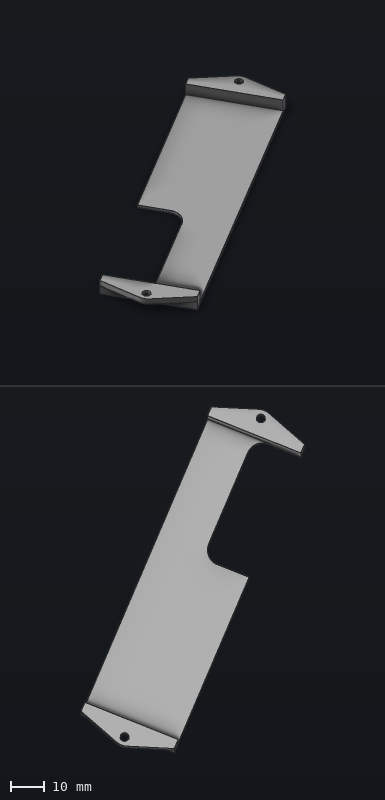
import cadquery as cq
import math

length = 111.0
width = 30.0
height = 5.0

floor_thickness = 1.0
wall_thickness = 3.0

ear_reach = 5.0
ear_thickness = 2.0
ear_tip_radius = 5.0
hole_diameter = 2.5
hole_edge_distance = 2.7

notch_depth = width / 2
notch_length = 40.0
notch_radius = 5.0

body_length = length - 2 * ear_reach
wall_outer_y = body_length / 2
wall_inner_y = wall_outer_y - wall_thickness
tip_y = length / 2


def make_block(size_y, size_z, center_y=0):
    """Full-width block standing on the bottom plane."""
    block = cq.Workplane("XY").box(width, size_y, size_z, centered=(True, True, False))
    return block.translate((0, center_y, 0))


def make_ear():
    """Tapered +Y ear whose straight flanks run tangent into a round tip."""
    half_width = width / 2
    arc_center_y = tip_y - ear_tip_radius
    corner_rise = arc_center_y - wall_outer_y
    corner_distance = math.hypot(half_width, corner_rise)
    flank_angle = math.atan2(corner_rise, half_width) + math.asin(ear_tip_radius / corner_distance)
    tangent_x = ear_tip_radius * math.sin(flank_angle)
    tangent_y = arc_center_y + ear_tip_radius * math.cos(flank_angle)

    return (
        cq.Workplane("XY")
        .workplane(offset=height - ear_thickness)
        .moveTo(-half_width, wall_inner_y)
        .lineTo(half_width, wall_inner_y)
        .lineTo(half_width, wall_outer_y)
        .lineTo(tangent_x, tangent_y)
        .threePointArc((0, tip_y), (-tangent_x, tangent_y))
        .lineTo(-half_width, wall_outer_y)
        .close()
        .extrude(ear_thickness)
    )


def make_end():
    """Wall, ear and screw hole at the +Y end."""
    wall = make_block(wall_thickness, height, wall_outer_y - wall_thickness / 2)
    hole = (
        cq.Workplane("XY")
        .center(0, tip_y - hole_edge_distance)
        .circle(hole_diameter / 2)
        .extrude(height)
    )
    return wall.union(make_ear()).cut(hole)


def make_floor():
    """Thin floor with the notch beside the -Y wall, rounded at its inner corners."""
    notch = (
        cq.Workplane("XY")
        .box(notch_depth, notch_length, floor_thickness, centered=False)
        .edges("|Z and >X")
        .fillet(notch_radius)
        .translate((-width / 2, -wall_inner_y, 0))
    )
    return make_block(body_length, floor_thickness).cut(notch)


end = make_end()
result = make_floor().union(end).union(end.mirror("XZ"))